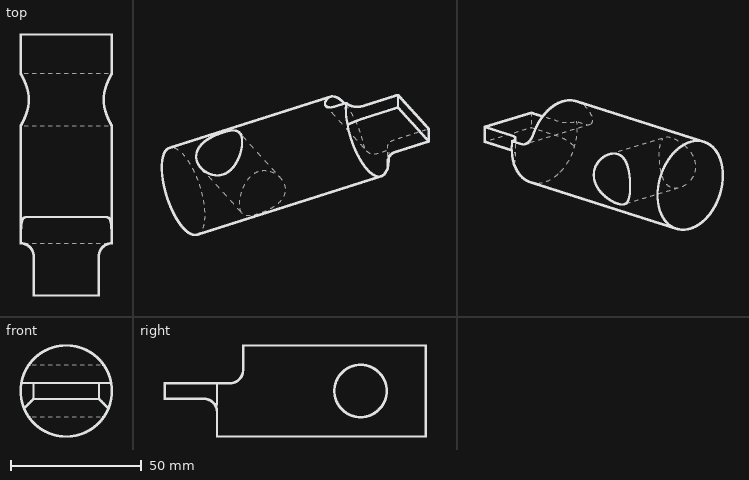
import cadquery as cq

shank_diameter = 35.0
shank_radius = shank_diameter / 2
total_length = 100.0

tongue_length = 20.0
tongue_width = 25.0
tongue_thickness = 6.0
fillet_radius = 5.0

upper_shoulder_setback = 10.0

hole_diameter = 20.0
hole_from_rear = 25.0

rear_y = total_length / 2
tip_y = -total_length / 2
shoulder_y = tip_y + tongue_length
upper_shoulder_y = shoulder_y + upper_shoulder_setback
hole_y = rear_y - hole_from_rear


def round_bar():
    """Full-length cylinder from which everything else is cut."""
    return cq.Workplane("XZ", origin=(0, rear_y, 0)).circle(shank_radius).extrude(total_length)


def shoulder_cutter(corner_y, tongue_face_offset):
    """Block that clears the bar above a tongue face at +Z, from the tip back to a
    shoulder at corner_y, with a rounded inside corner between the two."""
    outer_z = shank_diameter
    return (
        cq.Workplane("YZ")
        .moveTo(tip_y, tongue_face_offset)
        .lineTo(corner_y - fillet_radius, tongue_face_offset)
        .tangentArcPoint((fillet_radius, fillet_radius))
        .lineTo(corner_y, outer_z)
        .lineTo(tip_y, outer_z)
        .close()
        .extrude(shank_diameter, both=True)
    )


def turned_about_axis(body, angle):
    """Rotate a body about the shank axis."""
    return body.rotate((0, 0, 0), (0, 1, 0), angle)


def cross_hole():
    return (
        cq.Workplane("YZ")
        .center(hole_y, 0)
        .circle(hole_diameter / 2)
        .extrude(shank_diameter, both=True)
    )


upper_cut = shoulder_cutter(upper_shoulder_y, tongue_thickness / 2)
lower_cut = turned_about_axis(shoulder_cutter(shoulder_y, tongue_thickness / 2), 180)
side_cut = shoulder_cutter(shoulder_y, tongue_width / 2)

result = round_bar().cut(upper_cut).cut(lower_cut)
for side_angle in (90, -90):
    result = result.cut(turned_about_axis(side_cut, side_angle))
result = result.cut(cross_hole())